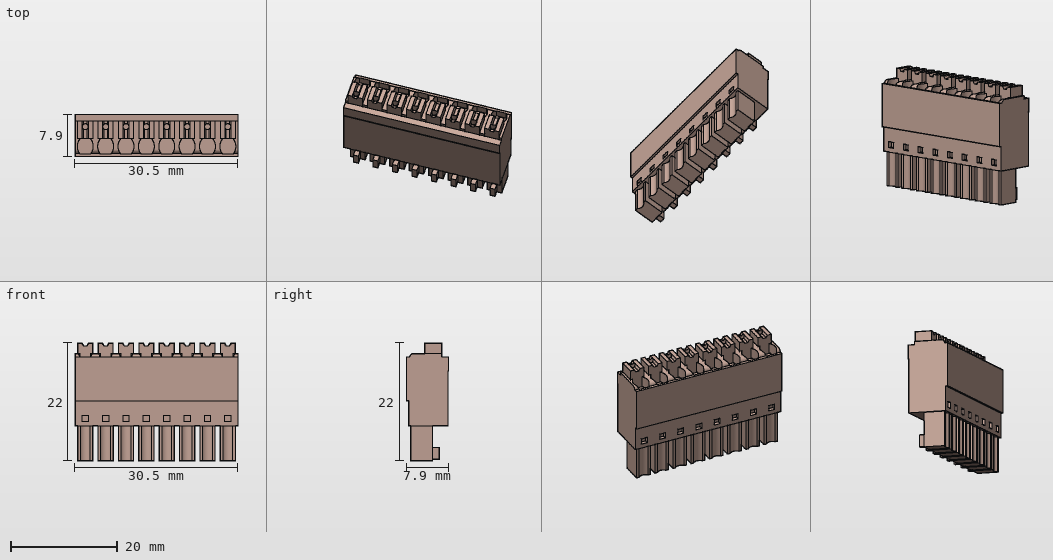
import cadquery as cq
import math


pole_count = 8
housing_length = 30.48
pitch = housing_length / pole_count
pole_centers = [(index + 0.5) * pitch for index in range(pole_count)]

foot_height = 6.55
front_step_height = 11.25
rear_step_height = 16.82
rim_height = 19.48
deck_height = 20.1
lever_top = 22.0

housing_depth = 7.9
lower_front = 0.4
lower_rear = 7.77
deck_rear = 6.65
nose_radius = 0.75
nose_center_y = 1.35
nose_center_z = deck_height - nose_radius

pocket_floor = 17.92
pocket_front = 0.45
pocket_end_width = 1.92
pocket_mid_width = 3.0

lever_width = 2.83
lever_front = 3.38
groove_depth = 0.5
groove_top_width = 1.15
groove_floor_width = 0.6
socket_diameter = 1.13
socket_y = 5.6
socket_floor = deck_height

window_width = 1.2
window_bottom = 7.4
window_height = 1.13
window_depth = 0.73

foot_width = 2.85
foot_front = 0.8
foot_rear = 4.88
flute_width = 1.83
flute_depth = 0.43
key_width = 0.98
key_rear = 6.15
key_bottom = 0.27
key_top = 2.53


def box_between(x_center, width, y_front, y_rear, z_bottom, z_top):
    """Box centred on x_center that spans the given Y and Z ranges."""
    return (
        cq.Workplane("XY", origin=(x_center, 0, z_bottom))
        .moveTo(0, (y_front + y_rear) / 2)
        .rect(width, y_rear - y_front)
        .extrude(z_top - z_bottom)
    )


def make_shell():
    """Stepped side profile with a rounded front edge on the deck, run along the row."""
    nose_drop = rim_height - nose_center_z
    nose_end_angle = math.asin(nose_drop / nose_radius)
    nose_mid_angle = (nose_end_angle + math.pi / 2) / 2
    nose_mid = (
        nose_center_y - nose_radius * math.cos(nose_mid_angle),
        nose_center_z + nose_radius * math.sin(nose_mid_angle),
    )
    nose_end = (nose_center_y - nose_radius * math.cos(nose_end_angle), rim_height)
    return (
        cq.Workplane("YZ")
        .moveTo(lower_front, foot_height)
        .lineTo(lower_rear, foot_height)
        .lineTo(lower_rear, rear_step_height)
        .lineTo(housing_depth, rear_step_height)
        .lineTo(housing_depth, rim_height)
        .lineTo(deck_rear, rim_height)
        .lineTo(deck_rear, deck_height)
        .lineTo(nose_center_y, deck_height)
        .threePointArc(nose_mid, nose_end)
        .lineTo(0, rim_height)
        .lineTo(0, front_step_height)
        .lineTo(lower_front, front_step_height)
        .close()
        .extrude(housing_length)
    )


def make_foot(x_center):
    """Plug foot with a concave flute down its front and a coding key on its rear."""
    half_foot = foot_width / 2
    half_flute = flute_width / 2
    foot = (
        cq.Workplane("XY", origin=(x_center, 0, 0))
        .moveTo(-half_foot, foot_front)
        .lineTo(-half_flute, foot_front)
        .threePointArc((0, foot_front + flute_depth), (half_flute, foot_front))
        .lineTo(half_foot, foot_front)
        .lineTo(half_foot, foot_rear)
        .lineTo(-half_foot, foot_rear)
        .close()
        .extrude(foot_height)
    )
    key = box_between(x_center, key_width, foot_rear, key_rear, key_bottom, key_top)
    return foot.union(key)


def make_wire_pocket(x_center):
    """Barrel-shaped wire entry, bounded at the rear by the lever."""
    half_end = pocket_end_width / 2
    half_mid = pocket_mid_width / 2
    pocket_middle = (pocket_front + lever_front) / 2
    return (
        cq.Workplane("XY", origin=(x_center, 0, pocket_floor))
        .moveTo(-half_end, pocket_front)
        .lineTo(half_end, pocket_front)
        .threePointArc((half_mid, pocket_middle), (half_end, lever_front))
        .lineTo(-half_end, lever_front)
        .threePointArc((-half_mid, pocket_middle), (-half_end, pocket_front))
        .close()
        .extrude(deck_height - pocket_floor)
    )


def make_lever_blank(x_center):
    """Plain lever block, also the shape of its slot in the housing."""
    return box_between(x_center, lever_width, lever_front, deck_rear, pocket_floor, lever_top)


def make_lever(x_center):
    """Release lever with a tapered screwdriver groove and a round socket in its top."""
    half_top = groove_top_width / 2
    half_floor = groove_floor_width / 2
    groove_floor = lever_top - groove_depth
    groove = (
        cq.Workplane("XZ", origin=(x_center, deck_rear, 0))
        .moveTo(-half_top, lever_top)
        .lineTo(-half_floor, groove_floor)
        .lineTo(half_floor, groove_floor)
        .lineTo(half_top, lever_top)
        .close()
        .extrude(deck_rear - lever_front)
    )
    socket = (
        cq.Workplane("XY", origin=(x_center, socket_y, socket_floor))
        .circle(socket_diameter / 2)
        .extrude(lever_top - socket_floor)
    )
    return make_lever_blank(x_center).cut(groove).cut(socket)


def make_window(x_center):
    """Blind test window in the lower front face."""
    window_rear = lower_front + window_depth
    window_top = window_bottom + window_height
    return box_between(x_center, window_width, lower_front, window_rear, window_bottom, window_top)


def make_housing():
    """Shell with a foot, wire pocket, lever slot and test window at every pole."""
    body = make_shell()
    for x_center in pole_centers:
        body = body.union(make_foot(x_center))
        body = body.cut(make_wire_pocket(x_center))
        body = body.cut(make_lever_blank(x_center))
        body = body.cut(make_window(x_center))
    return body


housing = make_housing()
levers = [make_lever(x_center) for x_center in pole_centers]

result = cq.Compound.makeCompound([housing.val(), *[lever.val() for lever in levers]])